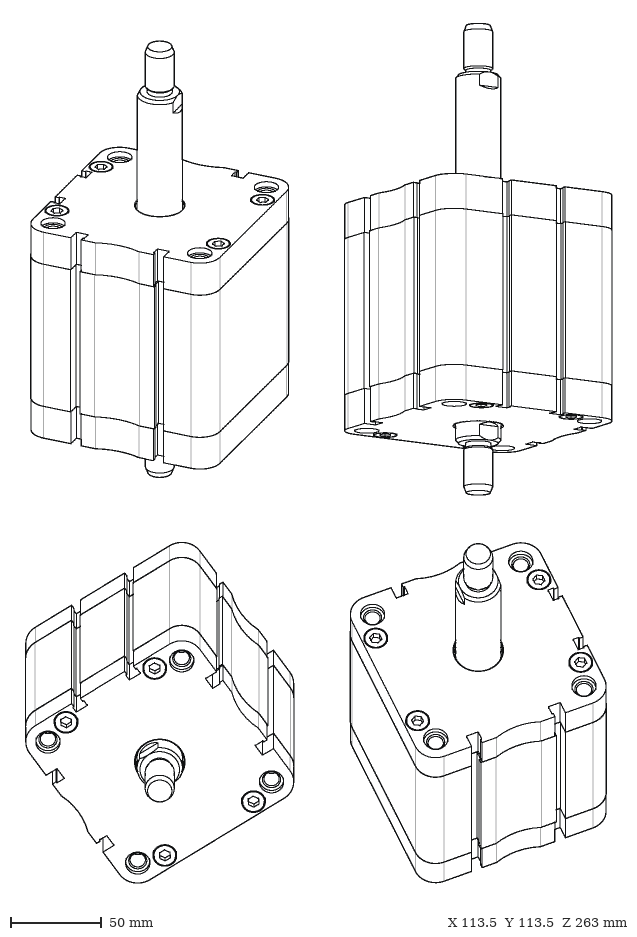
import cadquery as cq
import math


BARREL_SIDE = 113.5
CAP_SIDE = 113.4
CORNER_RADIUS = 12.0
HOUSING_LENGTH = 127.3
CAP_HEIGHT = 19.7
BARREL_LENGTH = HOUSING_LENGTH - 2 * CAP_HEIGHT

HOLLOW_DEPTH = 2.4
BARREL_HOLLOW_WIDTH = 27.4
CAP_HOLLOW_WIDTH = 26.3

LIPPED_SLOT_OUTER_X = 28.1
LIPPED_SLOT_DEPTH = 7.4
LIP_THICKNESS = 2.4
LIP_OVERHANG = 0.8
BARREL_LIP_X = 22.5
CAP_LIP_X = 21.8

T_SLOT_Y = 17.5
T_SLOT_DEPTH = 5.8
T_SLOT_LIP = 2.4
T_SLOT_MOUTH_WIDTH = 5.8
T_SLOT_FLOOR_WIDTH = 7.4

RECESS_DIAMETER = 26.8
RECESS_MOUTH_DIAMETER = 28.0
RECESS_DEPTH = 5.3
RECESS_CHAMFER = (RECESS_MOUTH_DIAMETER - RECESS_DIAMETER) / 2

CORNER_HOLE_OFFSET = 44.5
CORNER_HOLE_DIAMETER = 8.5
COUNTERSINK_DIAMETER = 10.0
COUNTERSINK_DEPTH = (COUNTERSINK_DIAMETER - CORNER_HOLE_DIAMETER) / 2
COUNTERBORE_DIAMETER = 13.5
COUNTERBORE_DEPTH = 3.2

HEAD_X = 49.0
HEAD_Y = 29.5
HEAD_DIAMETER = 12.0
HEAD_GROOVE_DIAMETER = 13.2
HEAD_GROOVE_DEPTH = 2.5
SOCKET_ACROSS_FLATS = 5.8
SOCKET_ACROSS_CORNERS = SOCKET_ACROSS_FLATS / math.cos(math.pi / 6)
SOCKET_DEPTH = 4.0

TOTAL_LENGTH = 263.0
ROD_DIAMETER = 25.0
ROD_REACH_ABOVE = 70.2
SHOULDER_DIAMETER = 21.8
SHOULDER_CHAMFER_HEIGHT = 1.8
STUD_LENGTH = 28.0
STUD_DIAMETER = 16.0
STUD_TIP_DIAMETER = 13.5
STUD_TIP_LENGTH = 3.5
NECK_DIAMETER = 14.0
NECK_LENGTH = 2.5
NECK_TAPER_LENGTH = (STUD_DIAMETER - NECK_DIAMETER) / 2
UPPER_SHOULDER_Z = HOUSING_LENGTH + ROD_REACH_ABOVE
LOWER_SHOULDER_Z = UPPER_SHOULDER_Z + 2 * STUD_LENGTH - TOTAL_LENGTH

FLAT_SPACING = 21.8
FLAT_LENGTH = 8.2
FLAT_CUT_DEPTH = 2.5

SIGNS = (1, -1)


def four_corners(x, y):
    return [(x_sign * x, y_sign * y) for x_sign in SIGNS for y_sign in SIGNS]


def hollow(half_side, width, y_sign, length):
    edge_y = y_sign * half_side
    return (
        cq.Workplane("XY")
        .moveTo(-width / 2, edge_y)
        .threePointArc((0, edge_y - y_sign * HOLLOW_DEPTH), (width / 2, edge_y))
        .close()
        .extrude(length)
    )


def lipped_slot(half_side, lip_x, x_sign, y_sign, length):
    inner_x = lip_x - LIP_OVERHANG
    floor_y = half_side - LIPPED_SLOT_DEPTH
    lip_y = half_side - LIP_THICKNESS
    outline = [
        (LIPPED_SLOT_OUTER_X, half_side),
        (LIPPED_SLOT_OUTER_X, floor_y),
        (inner_x, floor_y),
        (inner_x, lip_y),
        (lip_x, lip_y),
        (lip_x, half_side),
    ]
    points = [(x_sign * x, y_sign * y) for x, y in outline]
    return cq.Workplane("XY").polyline(points).close().extrude(length)


def t_slot(half_side, y, length):
    floor_depth = T_SLOT_DEPTH - T_SLOT_LIP
    mouth = cq.Workplane("XY").center(-half_side + T_SLOT_DEPTH / 2, y)
    mouth = mouth.rect(T_SLOT_DEPTH, T_SLOT_MOUTH_WIDTH).extrude(length)
    floor = cq.Workplane("XY").center(-half_side + T_SLOT_LIP + floor_depth / 2, y)
    floor = floor.rect(floor_depth, T_SLOT_FLOOR_WIDTH).extrude(length)
    return mouth.union(floor)


def slotted_block(side, length, hollow_width, lip_x):
    """Block standing on Z = 0 with the grooved outline and the bore for the rod."""
    half_side = side / 2
    block = cq.Workplane("XY").rect(side, side).extrude(length)
    block = block.edges("|Z").fillet(CORNER_RADIUS)
    for y_sign in SIGNS:
        block = block.cut(hollow(half_side, hollow_width, y_sign, length))
        block = block.cut(t_slot(half_side, y_sign * T_SLOT_Y, length))
        for x_sign in SIGNS:
            block = block.cut(lipped_slot(half_side, lip_x, x_sign, y_sign, length))
    return block.cut(cq.Workplane("XY").circle(ROD_DIAMETER / 2).extrude(length))


def make_barrel():
    barrel = slotted_block(BARREL_SIDE, BARREL_LENGTH, BARREL_HOLLOW_WIDTH, BARREL_LIP_X)
    return barrel.translate((0, 0, CAP_HEIGHT))


def rod_recess():
    """Round opening below Z = 0 with a chamfered mouth."""
    outline = [
        (0, 0),
        (RECESS_MOUTH_DIAMETER / 2, 0),
        (RECESS_DIAMETER / 2, -RECESS_CHAMFER),
        (RECESS_DIAMETER / 2, -RECESS_DEPTH),
        (0, -RECESS_DEPTH),
    ]
    return cq.Workplane("XZ").polyline(outline).close().revolve(360, (0, 0, 0), (0, 1, 0))


def corner_hole():
    """Hole through the cap below Z = 0: counterbore, countersink and bore."""
    outline = [
        (0, 0),
        (COUNTERBORE_DIAMETER / 2, 0),
        (COUNTERBORE_DIAMETER / 2, -COUNTERBORE_DEPTH),
        (COUNTERSINK_DIAMETER / 2, -COUNTERBORE_DEPTH),
        (CORNER_HOLE_DIAMETER / 2, -COUNTERBORE_DEPTH - COUNTERSINK_DEPTH),
        (CORNER_HOLE_DIAMETER / 2, -CAP_HEIGHT),
        (0, -CAP_HEIGHT),
    ]
    return cq.Workplane("XZ").polyline(outline).close().revolve(360, (0, 0, 0), (0, 1, 0))


def socket_head():
    """Ring groove and hexagon socket below Z = 0 that form one flush head."""
    groove = cq.Workplane("XY").circle(HEAD_GROOVE_DIAMETER / 2).circle(HEAD_DIAMETER / 2)
    groove = groove.extrude(-HEAD_GROOVE_DEPTH)
    socket = cq.Workplane("XY").transformed(rotate=(0, 0, 90)).polygon(6, SOCKET_ACROSS_CORNERS)
    return groove.add(socket.extrude(-SOCKET_DEPTH)).combine()


def make_cap():
    """End cap standing on Z = 0 with its outer face on top."""
    cap = slotted_block(CAP_SIDE, CAP_HEIGHT, CAP_HOLLOW_WIDTH, CAP_LIP_X)
    cap = cap.cut(rod_recess().translate((0, 0, CAP_HEIGHT)))
    for x, y in four_corners(CORNER_HOLE_OFFSET, CORNER_HOLE_OFFSET):
        cap = cap.cut(corner_hole().translate((x, y, CAP_HEIGHT)))
    for x, y in four_corners(HEAD_X, HEAD_Y):
        cap = cap.cut(socket_head().translate((x, y, CAP_HEIGHT)))
    return cap


def make_caps():
    """Upper cap and its mirror image at the lower end of the barrel."""
    upper_cap = make_cap().translate((0, 0, HOUSING_LENGTH - CAP_HEIGHT))
    lower_cap = upper_cap.mirror("XY", (0, 0, HOUSING_LENGTH / 2))
    return [upper_cap, lower_cap]


def rod_end_outline(shoulder_z, outward):
    """Radius and height points from the rod body to the stud tip; outward is +1 up or -1 down."""
    steps = [
        (ROD_DIAMETER, -SHOULDER_CHAMFER_HEIGHT),
        (SHOULDER_DIAMETER, 0),
        (NECK_DIAMETER, 0),
        (NECK_DIAMETER, NECK_LENGTH),
        (STUD_DIAMETER, NECK_LENGTH + NECK_TAPER_LENGTH),
        (STUD_DIAMETER, STUD_LENGTH - STUD_TIP_LENGTH),
        (STUD_TIP_DIAMETER, STUD_LENGTH),
        (0, STUD_LENGTH),
    ]
    return [(diameter / 2, shoulder_z + outward * height) for diameter, height in steps]


def wrench_flat(shoulder_z, outward, x_sign):
    inner_x = x_sign * FLAT_SPACING / 2
    outer_x = inner_x + x_sign * FLAT_CUT_DEPTH
    outline = [
        (inner_x, shoulder_z),
        (inner_x, shoulder_z - outward * FLAT_LENGTH),
        (outer_x, shoulder_z - outward * (FLAT_LENGTH + FLAT_CUT_DEPTH)),
        (outer_x, shoulder_z),
    ]
    return cq.Workplane("XZ").polyline(outline).close().extrude(ROD_DIAMETER / 2, both=True)


def make_rod():
    ends = ((UPPER_SHOULDER_Z, 1), (LOWER_SHOULDER_Z, -1))
    upper_outline, lower_outline = [rod_end_outline(z, outward) for z, outward in ends]
    outline = upper_outline + lower_outline[::-1]
    rod = cq.Workplane("XZ").polyline(outline).close().revolve(360, (0, 0, 0), (0, 1, 0))
    for shoulder_z, outward in ends:
        for x_sign in SIGNS:
            rod = rod.cut(wrench_flat(shoulder_z, outward, x_sign))
    return rod


barrel = make_barrel()
caps = make_caps()
rod = make_rod()

result = cq.Compound.makeCompound([barrel.val(), *[cap.val() for cap in caps], rod.val()])